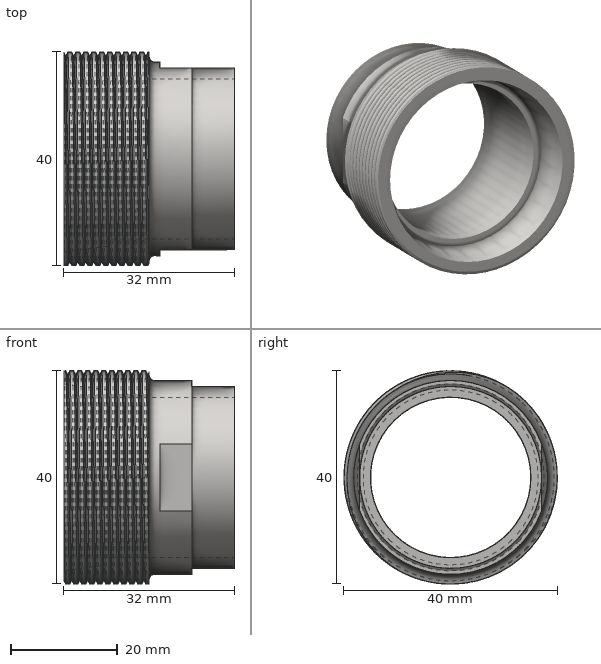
import cadquery as cq
import math

thread_length = 16.0
collar_end = 24.0
total_length = 32.0

thread_radius = 20.0
collar_radius = 18.15
sleeve_radius = 17.05
bore_radius = 15.0

fillet_radius = 1.0

seat_mouth_radius = 17.5
seat_floor_radius = 16.4
seat_depth = 8.0

flat_start = 18.0

pitch = 1.5
thread_depth = 0.6
groove_top_width = 0.78
groove_root_width = 0.22
cutter_overshoot = 0.2


def revolved(profile):
    return profile.close().revolve(360, (0, 0, 0), (1, 0, 0))


def outer_body():
    """Threaded section, collar and sleeve as one solid of revolution."""
    profile = (
        cq.Workplane("XY")
        .lineTo(0, thread_radius)
        .lineTo(thread_length, thread_radius)
        .lineTo(thread_length, collar_radius + fillet_radius)
        .radiusArc((thread_length + fillet_radius, collar_radius), -fillet_radius)
        .lineTo(collar_end, collar_radius)
        .lineTo(collar_end, sleeve_radius)
        .lineTo(total_length, sleeve_radius)
        .lineTo(total_length, 0)
    )
    return revolved(profile)


def bore():
    """Through bore with the wider conical seat at the threaded end."""
    profile = (
        cq.Workplane("XY")
        .lineTo(0, seat_mouth_radius)
        .lineTo(seat_depth, seat_floor_radius)
        .lineTo(seat_depth, bore_radius)
        .lineTo(total_length, bore_radius)
        .lineTo(total_length, 0)
    )
    return revolved(profile)


def flat_cutter(side):
    """Block that cuts the wrench flat on the +Y or -Y side of the collar."""
    height = collar_radius - sleeve_radius
    return (
        cq.Workplane("XY")
        .box(collar_end - flat_start, height, 2 * collar_radius, centered=(False, True, True))
        .translate((flat_start, side * (sleeve_radius + height / 2), 0))
    )


def groove_turn():
    """One right-handed turn of the trapezoidal thread groove, from X = 0 to X = pitch at -Z."""
    root_radius = thread_radius - thread_depth
    outer_radius = thread_radius + cutter_overshoot
    flank_slope = (groove_top_width - groove_root_width) / 2 / thread_depth
    half_root = groove_root_width / 2
    half_outer = groove_top_width / 2 + cutter_overshoot * flank_slope

    helix = cq.Wire.makeHelix(pitch, pitch, root_radius)
    groove = (
        cq.Workplane("XZ")
        .polyline([
            (root_radius, -half_root),
            (outer_radius, -half_outer),
            (outer_radius, half_outer),
            (root_radius, half_root),
        ])
        .close()
        .sweep(cq.Workplane(obj=helix), isFrenet=True)
    )
    return groove.rotate((0, 0, 0), (0, 1, 0), 90)


def cut_thread(body):
    """Cut the groove turn by turn, from before the open face to past the thread's end."""
    turn = groove_turn()
    last_turn = math.ceil(thread_length / pitch)
    for index in range(-1, last_turn + 1):
        body = body.cut(turn.translate((index * pitch, 0, 0)))
    return body


result = cut_thread(outer_body()).cut(bore())
for side in (-1, 1):
    result = result.cut(flat_cutter(side))